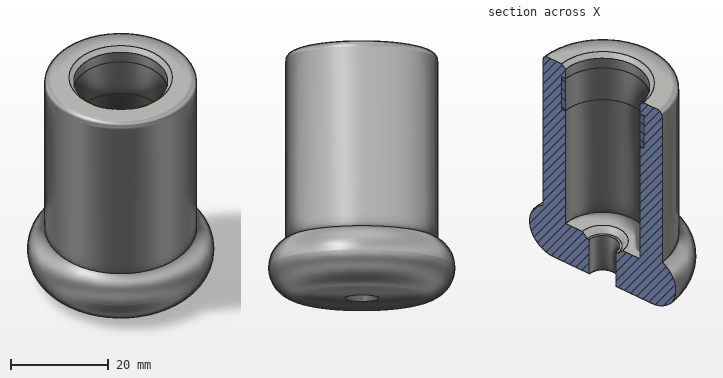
import cadquery as cq
import math

height = 50.8
foot_radius = 19.05

foot_round = 6.35
tube_radius = 15.55
rim_fillet = 1.4

mouth_radius = 10.55
bore_radius = 9.6
mouth_chamfer = mouth_radius - bore_radius
floor_height = 10.15

countersink_radius = 5.25
counterbore_radius = 3.95
screw_radius = 3.45

sleeve_top = 47.35
sleeve_length = 8.2
sleeve_wall = 1.0
sleeve_bottom = sleeve_top - sleeve_length
sleeve_outer_radius = bore_radius + sleeve_wall


def revolve_about_z(profile):
    return profile.revolve(360, (0, 0, 0), (0, 1, 0))


def make_sleeve():
    profile = (
        cq.Workplane("XZ")
        .moveTo(bore_radius, sleeve_bottom)
        .lineTo(sleeve_outer_radius, sleeve_bottom)
        .lineTo(sleeve_outer_radius, sleeve_top)
        .lineTo(bore_radius, sleeve_top)
        .close()
    )
    return revolve_about_z(profile)


def make_housing():
    round_centre_radius = foot_radius - foot_round
    joint_height = foot_round + math.sqrt(foot_round**2 - (tube_radius - round_centre_radius) ** 2)
    ledge_height = floor_height - (countersink_radius - counterbore_radius)
    profile = (
        cq.Workplane("XZ")
        .moveTo(screw_radius, 0)
        .lineTo(round_centre_radius, 0)
        .radiusArc((foot_radius, foot_round), -foot_round)
        .radiusArc((tube_radius, joint_height), -foot_round)
        .lineTo(tube_radius, height - rim_fillet)
        .radiusArc((tube_radius - rim_fillet, height), -rim_fillet)
        .lineTo(mouth_radius, height)
        .lineTo(bore_radius, height - mouth_chamfer)
        .lineTo(bore_radius, sleeve_top)
        .lineTo(sleeve_outer_radius, sleeve_top)
        .lineTo(sleeve_outer_radius, sleeve_bottom)
        .lineTo(bore_radius, sleeve_bottom)
        .lineTo(bore_radius, floor_height)
        .lineTo(countersink_radius, floor_height)
        .lineTo(counterbore_radius, ledge_height)
        .lineTo(screw_radius, ledge_height)
        .close()
    )
    return revolve_about_z(profile)


housing = make_housing()
sleeve = make_sleeve()

result = cq.Compound.makeCompound([housing.val(), sleeve.val()])